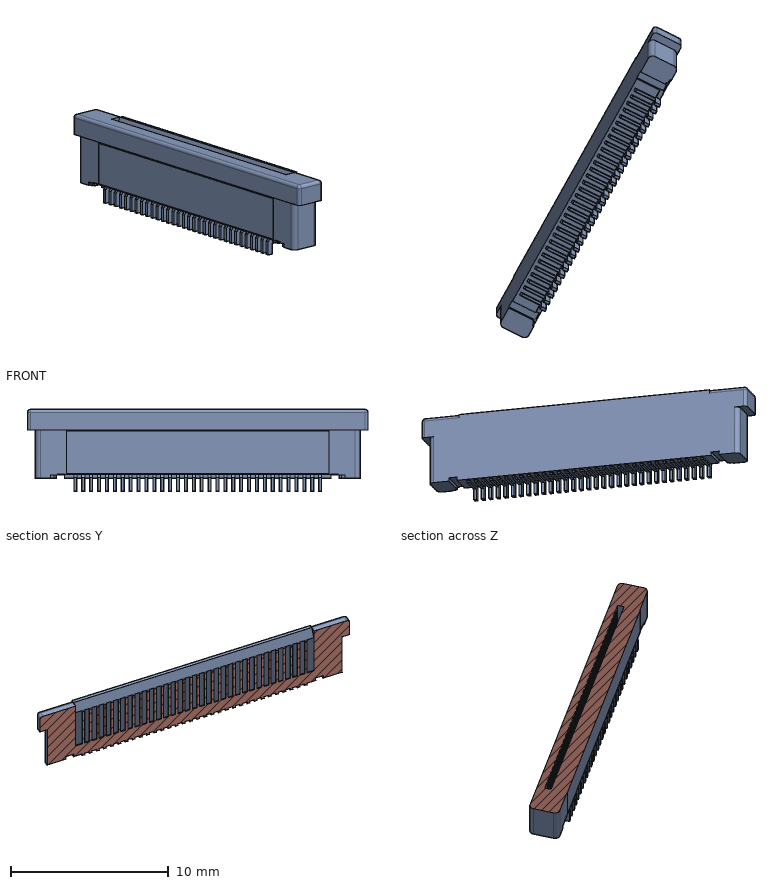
import cadquery as cq

LENGTH = 21.6
DEPTH = 2.0
HEIGHT = 5.2

CAP_HEIGHT = 1.32
CAP_ROUND = 0.22

BODY_LENGTH = 20.6
BODY_BOTTOM = -4.38
BODY_ROUND = 0.32
BODY_SETBACK = 0.02

SLOT_LENGTH = 16.63
SLOT_FRONT = DEPTH - 0.9
SLOT_BACK = DEPTH - 0.52
LEAD_IN_BACK = DEPTH - 0.22
LEAD_IN_DEPTH = 0.63
SLOT_DEPTH = 3.45

PANEL_TOP = -CAP_HEIGHT - 0.06
PANEL_BOTTOM = -4.05
PANEL_THICKNESS = 0.22
PIN_RECESS_LENGTH = 16.9
PIN_RECESS_TOP = -4.13
PIN_RECESS_DEPTH = 0.35

GAP_WIDTH = 0.52
GAP_HEIGHT = 0.22
RELIEF_WIDTH = 0.43
RELIEF_HEIGHT = 0.28
RELIEF_DEPTH = 0.1
TAB_WIDTH = 0.37
TAB_SETBACK = 0.1
TAB_STEP_WIDTH = 0.13
TAB_STEP_SETBACK = 0.22

PIN_COUNT = 32
PIN_ROW_LENGTH = 15.5
PIN_PITCH = PIN_ROW_LENGTH / (PIN_COUNT - 1)
PIN_WIDTH = 0.2
PIN_THICKNESS = 0.35
PIN_SHOULDER = 0.2
TAIL_BACK = DEPTH - 0.2
TAIL_BOTTOM = BODY_BOTTOM - 0.13
TAIL_CHAMFER = 0.1
RIB_HEIGHT = 0.06
RIB_LEAD_IN = 0.1


def box(x_center, length, y_min, y_max, z_min, z_max):
    """Block centred on x_center, spanning the given y and z ranges."""
    block = cq.Workplane("XY").box(length, y_max - y_min, z_max - z_min, centered=(True, False, False))
    return block.translate((x_center, y_min, z_min))


def prism(points, length, x_center=0.0):
    """Extrude a closed (y, z) polygon along X, centred on x_center."""
    return cq.Workplane("YZ").polyline(points).close().extrude(length / 2, both=True).translate((x_center, 0, 0))


def make_housing():
    cap = box(0, LENGTH, 0, DEPTH, -CAP_HEIGHT, 0)
    cap = cap.edges("|Z or >Z").fillet(CAP_ROUND)
    body = box(0, BODY_LENGTH, BODY_SETBACK, DEPTH, BODY_BOTTOM, -CAP_HEIGHT)
    body = body.edges("|Z").fillet(BODY_ROUND)
    rear_lip = box(0, SLOT_LENGTH, DEPTH - CAP_ROUND, DEPTH, -CAP_ROUND, 0)
    return cap.union(body).union(rear_lip)


def make_slot():
    return prism(
        [
            (SLOT_FRONT, 0),
            (LEAD_IN_BACK, 0),
            (SLOT_BACK, -LEAD_IN_DEPTH),
            (SLOT_BACK, -SLOT_DEPTH),
            (SLOT_FRONT, -SLOT_DEPTH),
        ],
        SLOT_LENGTH,
    )


def make_front_panel():
    return box(0, SLOT_LENGTH, 0, PANEL_THICKNESS, PANEL_BOTTOM, PANEL_TOP)


def make_pin_recess():
    return box(0, PIN_RECESS_LENGTH, 0, PIN_RECESS_DEPTH, BODY_BOTTOM, PIN_RECESS_TOP)


def make_bottom_gap(side):
    """Gap through the bottom and the steps beside it; side is -1 or 1."""

    def notch(start, width, depth, height):
        x_center = side * (PIN_RECESS_LENGTH / 2 + start + width / 2)
        return box(x_center, width, 0, depth, BODY_BOTTOM, BODY_BOTTOM + height)

    gap = notch(0, GAP_WIDTH, DEPTH, GAP_HEIGHT)
    relief = notch(0, RELIEF_WIDTH, RELIEF_DEPTH, RELIEF_HEIGHT)
    tab_step = notch(GAP_WIDTH, TAB_STEP_WIDTH, TAB_STEP_SETBACK, GAP_HEIGHT)
    tab = notch(GAP_WIDTH, TAB_WIDTH, TAB_SETBACK, GAP_HEIGHT)
    return gap.union(relief).union(tab_step).union(tab)


def make_pin(x):
    """L-shaped pin: a tail under the body with a leg down the front and a contact rib in the slot."""
    outline = [
        (0, -HEIGHT),
        (PIN_THICKNESS, -HEIGHT),
        (PIN_THICKNESS, TAIL_BOTTOM),
        (TAIL_BACK - TAIL_CHAMFER, TAIL_BOTTOM),
        (TAIL_BACK, TAIL_BOTTOM + TAIL_CHAMFER),
        (TAIL_BACK, PIN_RECESS_TOP),
        (PIN_SHOULDER, PIN_RECESS_TOP),
        (0, PIN_RECESS_TOP - PIN_SHOULDER),
    ]
    pin = prism(outline, PIN_WIDTH, x)
    rib_tip = SLOT_BACK - RIB_HEIGHT
    rib_outline = [
        (SLOT_BACK, -LEAD_IN_DEPTH),
        (rib_tip, -LEAD_IN_DEPTH - RIB_LEAD_IN),
        (rib_tip, -SLOT_DEPTH),
        (SLOT_BACK, -SLOT_DEPTH),
    ]
    return pin.union(prism(rib_outline, PIN_WIDTH, x))


result = make_housing().union(make_front_panel()).cut(make_slot()).cut(make_pin_recess())
for side in (-1, 1):
    result = result.cut(make_bottom_gap(side))
for index in range(PIN_COUNT):
    result = result.union(make_pin(index * PIN_PITCH - PIN_ROW_LENGTH / 2))